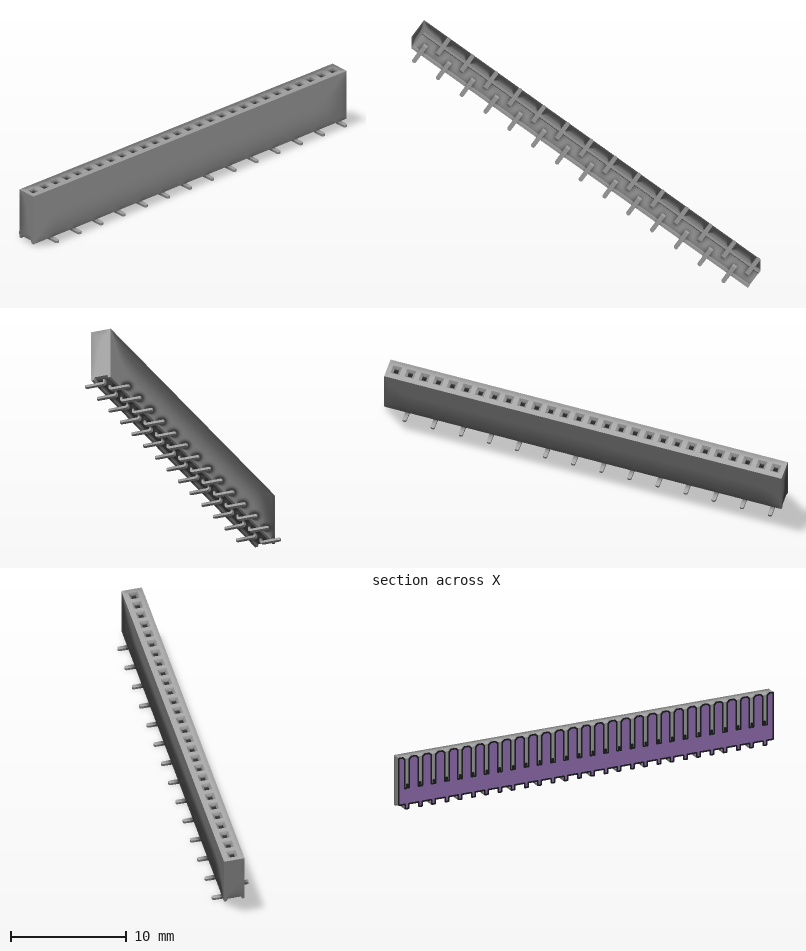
import cadquery as cq

length = 35.9
span_x = 3.6
height = 4.85

contact_count = 28
end_margin = 0.18
pitch = (length - 2 * end_margin) / contact_count

housing_width = 1.83
tail_thickness = 0.2
groove_depth = 0.25
groove_mouth_width = 1.35
groove_ceiling_width = 1.2
groove_ceiling_z = tail_thickness + groove_depth

mouth_size = 0.83
hole_size = 0.4
funnel_depth = (mouth_size - hole_size) / 2
hole_depth = 2.87
hole_floor_z = height - hole_depth

tail_width = 0.4
tip_width = 0.35
tip_radius = 0.15
stem_thickness = 0.18
bend_radius = tail_thickness
post_width = 0.15
post_height = 0.35

row_half_length = (contact_count - 1) / 2 * pitch
contact_points = [(0, i * pitch - row_half_length) for i in range(contact_count)]


def make_housing():
    """Long block with a slant-sided groove along its underside."""
    block = (
        cq.Workplane("XY", origin=(0, 0, tail_thickness))
        .rect(housing_width, length)
        .extrude(height - tail_thickness)
    )
    groove = (
        cq.Workplane("XZ", origin=(0, length / 2, 0))
        .moveTo(-groove_mouth_width / 2, tail_thickness)
        .lineTo(-groove_ceiling_width / 2, groove_ceiling_z)
        .lineTo(groove_ceiling_width / 2, groove_ceiling_z)
        .lineTo(groove_mouth_width / 2, tail_thickness)
        .close()
        .extrude(length)
    )
    return block.cut(groove)


def make_socket():
    """Void of one socket: funnel and hole, less the contact post in the hole."""
    funnel = (
        cq.Workplane("XY", origin=(0, 0, height))
        .rect(mouth_size, mouth_size)
        .workplane(offset=-funnel_depth)
        .rect(hole_size, hole_size)
        .loft(ruled=True)
    )
    hole = (
        cq.Workplane("XY", origin=(0, 0, hole_floor_z))
        .rect(hole_size, hole_size)
        .extrude(hole_depth - funnel_depth)
    )
    post = (
        cq.Workplane("XY", origin=(0, 0, hole_floor_z))
        .rect(stem_thickness, post_width)
        .extrude(post_height)
    )
    return hole.cut(post).union(funnel)


def make_contact():
    """Bent contact whose tapered, round-cornered tail reaches out to +X."""
    stem_x = stem_thickness / 2
    tip_x = span_x / 2
    tail = (
        cq.Workplane("XY")
        .moveTo(-stem_x, -tail_width / 2)
        .lineTo(stem_x, -tail_width / 2)
        .lineTo(tip_x, -tip_width / 2)
        .lineTo(tip_x, tip_width / 2)
        .lineTo(stem_x, tail_width / 2)
        .lineTo(-stem_x, tail_width / 2)
        .close()
        .extrude(tail_thickness)
        .edges("|Z and >X")
        .fillet(tip_radius)
    )
    stem = (
        cq.Workplane("XY")
        .rect(stem_thickness, tail_width)
        .extrude(groove_ceiling_z)
    )
    return tail.union(stem).edges("|Y and <X and <Z").fillet(bend_radius)


def repeat(body, points):
    """Copies of one body moved to each of the points."""
    return cq.Workplane("XY").pushPoints(points).eachpoint(body.val(), combine=False)


right_contact = make_contact()
left_contact = right_contact.rotate((0, 0, 0), (0, 0, 1), 180)

sockets = cq.Workplane(cq.Compound.makeCompound(repeat(make_socket(), contact_points).vals()))
result = (
    make_housing()
    .cut(sockets)
    .union(repeat(left_contact, contact_points[0::2]))
    .union(repeat(right_contact, contact_points[1::2]))
    .solids()
)